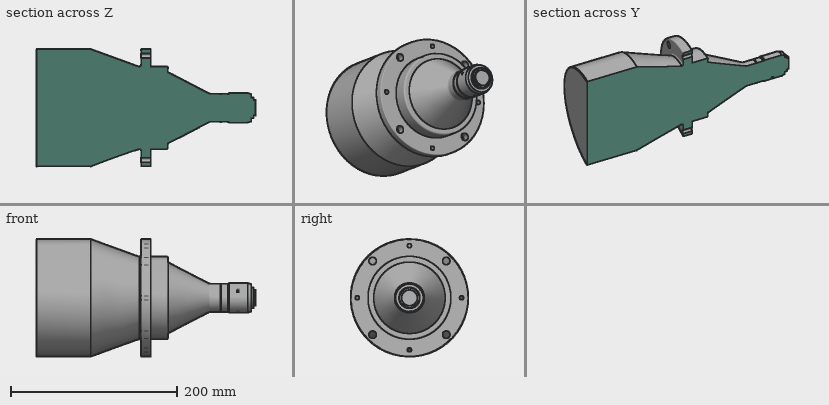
import cadquery as cq
import math


barrel_radius = 71.0
barrel_end = 65.4
barrel_front_chamfer = 0.8

front_cone_half_angle = 20.0
neck_radius = 50.0
neck_start = barrel_end + (barrel_radius - neck_radius) / math.tan(math.radians(front_cone_half_angle))
neck_blend_radius = 5.0

flange_radius = barrel_radius
flange_start = 126.0
flange_thickness = 12.0
flange_end = flange_start + flange_thickness
flange_front_fillet = 1.5
flange_rear_fillet = 1.0
flange_root_fillet = 2.0

hole_circle_radius = 62.75
bolt_hole_diameter = 9.0
small_hole_diameter = 5.0
flange_hole_count = 4
hole_pitch_angle = 360 / flange_hole_count

hub_radius = neck_radius
hub_end = 158.7
hub_edge_fillet = 2.0
rear_cone_radius = 43.1
tube_radius = 17.2
tube_start = 208.6
tube_blend_radius = 3.5

groove_depth = 0.4
groove_half_width = 0.5
first_groove_center = 222.0
second_groove_start = 230.6
second_groove_bottom = second_groove_start + groove_half_width

ring_radius = 18.0
ring_start = 232.5
ring_taper_start = 254.8
ring_end = 259.0
ring_end_radius = 16.6

mount_radius = 12.7
mount_end = 262.2
mount_edge_chamfer = 0.8
boss_radius = 9.5
overall_length = 264.3

screw_hole_station = 242.8
screw_hole_diameter = 2.5
screw_hole_depth = 3.0
screw_hole_count = 3
screw_hole_pitch_angle = 360 / screw_hole_count
first_screw_hole_angle = 34.0


def turned_body():
    """Revolve the half outline (station, radius) about the X axis."""
    outline = [
        (0, 0),
        (0, barrel_radius - barrel_front_chamfer),
        (barrel_front_chamfer, barrel_radius),
        (barrel_end, barrel_radius),
        (neck_start, neck_radius),
        (flange_start, neck_radius),
        (flange_start, flange_radius),
        (flange_end, flange_radius),
        (flange_end, hub_radius),
        (hub_end, hub_radius),
        (hub_end, rear_cone_radius),
        (tube_start, tube_radius),
        (first_groove_center - groove_half_width, tube_radius),
        (first_groove_center, tube_radius - groove_depth),
        (first_groove_center + groove_half_width, tube_radius),
        (second_groove_start, tube_radius),
        (second_groove_bottom, tube_radius - groove_depth),
        (ring_start, ring_radius),
        (ring_taper_start, ring_radius),
        (ring_end, ring_end_radius),
        (ring_end, mount_radius),
        (mount_end - mount_edge_chamfer, mount_radius),
        (mount_end, mount_radius - mount_edge_chamfer),
        (mount_end, boss_radius),
        (overall_length, boss_radius),
        (overall_length, 0),
    ]
    return cq.Workplane("XY").polyline(outline).close().revolve(360, (0, 0, 0), (1, 0, 0))


def round_edge(body, station, edge_radius, fillet_radius):
    """Fillet the circular edge of the given radius at the given station."""
    tolerance = 0.01
    edges = [
        edge
        for edge in body.edges("%CIRCLE").vals()
        if abs(edge.Center().x - station) < tolerance and abs(edge.radius() - edge_radius) < tolerance
    ]
    return body.newObject(edges).fillet(fillet_radius)


def flange_holes(diameter, first_angle):
    """Ring of pins along X that cut holes through the flange, the first at an angle from +Y."""
    return (
        cq.Workplane("YZ", origin=(flange_start, 0, 0))
        .polarArray(hole_circle_radius, first_angle, 360, flange_hole_count)
        .circle(diameter / 2)
        .extrude(flange_thickness)
    )


def screw_hole(angle):
    """Radial pin, turned about X by an angle from +Y towards +Z, that cuts a set screw hole."""
    direction = cq.Vector(0, math.cos(math.radians(angle)), math.sin(math.radians(angle)))
    bottom = cq.Vector(screw_hole_station, 0, 0) + direction * (ring_radius - screw_hole_depth)
    return cq.Solid.makeCylinder(screw_hole_diameter / 2, 2 * screw_hole_depth, bottom, direction)


result = turned_body()

result = round_edge(result, neck_start, neck_radius, neck_blend_radius)
result = round_edge(result, flange_start, neck_radius, flange_root_fillet)
result = round_edge(result, flange_start, flange_radius, flange_front_fillet)
result = round_edge(result, flange_end, flange_radius, flange_rear_fillet)
result = round_edge(result, hub_end, hub_radius, hub_edge_fillet)
result = round_edge(result, tube_start, tube_radius, tube_blend_radius)

result = result.cut(flange_holes(bolt_hole_diameter, hole_pitch_angle / 2))
result = result.cut(flange_holes(small_hole_diameter, 0))

for index in range(screw_hole_count):
    result = result.cut(screw_hole(first_screw_hole_angle + index * screw_hole_pitch_angle))